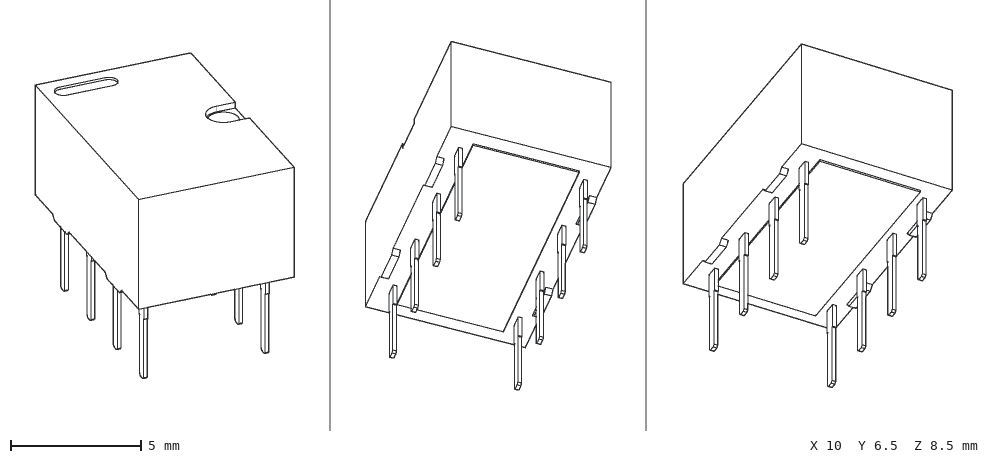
import cadquery as cq
import math

length = 10.0
width = 6.5
total_height = 8.5
pin_length = 3.7
body_height = total_height - pin_length

pin_pitch = 2.54
pins_per_row = 4
pin_row_y = 2.54
pin_thickness = 0.16
pin_width = 0.4
shoulder_width = 0.5
shoulder_length = 1.05
tip_chamfer = 0.08

foot_x = 2.54
foot_top_width = 1.58
foot_bottom_width = 1.22
foot_height = 0.2
foot_thickness = 0.3

plate_length = 8.84
plate_width = 4.32
plate_height = 0.08

notch_radius = 0.68
notch_centre_inset = 0.8
notch_depth = 0.25
dome_radius = 0.61
dome_height = 0.17

slot_inset_x = 0.88
slot_inset_y = 1.75
slot_length = 2.6
slot_width = 0.7
slot_depth = 0.1


def make_box(size_x, size_y, bottom, top):
    """Box centred on the Z axis, reaching from bottom to top."""
    return (
        cq.Workplane("XY", origin=(0, 0, bottom))
        .rect(size_x, size_y)
        .extrude(top - bottom)
    )


def make_notch():
    centre_y = width / 2 - notch_centre_inset
    floor = cq.Workplane("XY", origin=(0, centre_y, body_height - notch_depth))
    round_end = floor.circle(notch_radius).extrude(notch_depth)
    open_end = (
        floor.center(0, notch_centre_inset / 2)
        .rect(2 * notch_radius, notch_centre_inset)
        .extrude(notch_depth)
    )
    return round_end.union(open_end)


def make_slot():
    centre_x = slot_inset_x - length / 2
    centre_y = slot_inset_y - width / 2
    return (
        cq.Workplane("XY", origin=(centre_x, centre_y, body_height - slot_depth))
        .slot2D(slot_length, slot_width, 90)
        .extrude(slot_depth)
    )


def make_dome():
    """Spherical cap standing on the notch floor."""
    floor_z = body_height - notch_depth
    sphere_radius = (dome_radius**2 + dome_height**2) / (2 * dome_height)
    half_angle = math.asin(dome_radius / sphere_radius) / 2
    arc_middle = (
        sphere_radius * math.sin(half_angle),
        dome_height - sphere_radius * (1 - math.cos(half_angle)),
    )
    return (
        cq.Workplane("XZ", origin=(0, width / 2 - notch_centre_inset, floor_z))
        .lineTo(dome_radius, 0)
        .threePointArc(arc_middle, (0, dome_height))
        .close()
        .revolve(360, (0, 0), (0, 1))
    )


def make_foot(x, side):
    """Tapered foot flush with the long wall on the given side (+1 or -1)."""
    centre_y = side * (width - foot_thickness) / 2
    return (
        cq.Workplane("XZ", origin=(x, centre_y, 0))
        .moveTo(-foot_top_width / 2, 0)
        .lineTo(-foot_bottom_width / 2, -foot_height)
        .lineTo(foot_bottom_width / 2, -foot_height)
        .lineTo(foot_top_width / 2, 0)
        .close()
        .extrude(foot_thickness / 2, both=True)
    )


def make_pin(x, y):
    """Flat pin with a wider shoulder at the root and a chamfered tip."""
    shoulder = make_box(shoulder_width, pin_thickness, -shoulder_length, 0)
    blade = make_box(pin_width, pin_thickness, -pin_length, 0)
    blade = blade.faces("<Z").edges("|Y").chamfer(tip_chamfer)
    return shoulder.union(blade).translate((x, y, 0))


result = make_box(length, width, 0, body_height)
result = result.cut(make_notch()).cut(make_slot())
result = result.union(make_dome())
result = result.union(make_box(plate_length, plate_width, -plate_height, 0))

for side in (-1, 1):
    for x in (-foot_x, foot_x):
        result = result.union(make_foot(x, side))
    for index in range(pins_per_row):
        pin_x = (index - (pins_per_row - 1) / 2) * pin_pitch
        result = result.union(make_pin(pin_x, side * pin_row_y))